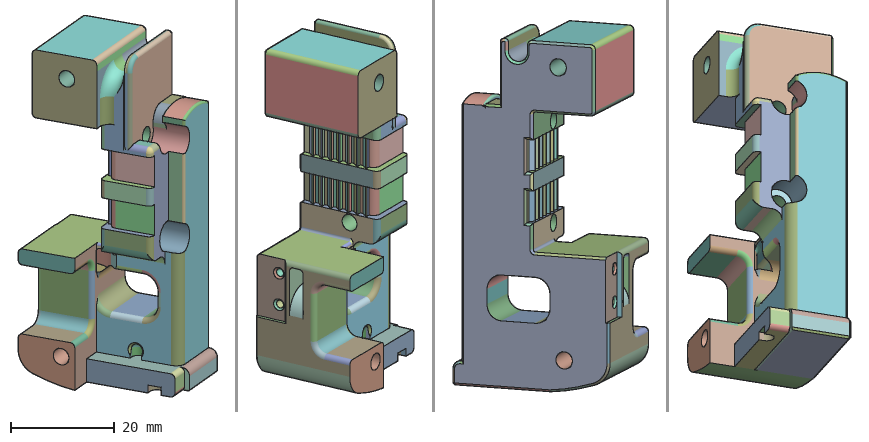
import cadquery as cq
import math


BACK_Y = 21.6
TOP_Z = 68.75
BACK_CHAMFER = 0.5
EDGE_ROUND = 0.95
LARGE_ROUND = 2.0
SMALL_ROUND = 0.5
SCREW_HOLE_D = 3.4

COLLAR_Y = 3.5
PLATE_Y = 9.2
FLANGE_Y = 10.85
SHOULDER_Y = 12.9

CLAMP_X = 12.25
CLAMP_Z = 27.2
CLAMP_REAR_Y = 11.0
OPENING_Y = 7.9
OPENING_BOTTOM = 9.7
OPENING_TOP = 23.9
OPENING_CORNER = 2.1
OPENING_EDGE_ROUND = 0.95
HEEL_START_Z = 6.4
HEEL_KNEE = (3.65, 1.8)
HEEL_MIDDLE = (7.7, 0.7)
CLAMP_SCREW = (9.3, 6.45)

COLLAR_X = 15.8
COLLAR_RIGHT = 27.0
COLLAR_BOTTOM = 27.5
COLLAR_TOP = 51.0
COLLAR_CORNER = 1.1
RECESS_DEPTH = 1.3
RECESS_Y = 4.9
RECESS_CORNER = 1.5
RECESSES = ((32.85, 39.2), (42.8, 49.2))
FIN_COUNT = 7
FIN_PITCH = 2.03
FIN_HEIGHT = 0.8
FIN_CREST = 0.35
FIN_RAMP = 1.0
FIRST_FIN_Y = RECESS_Y + RECESS_CORNER

HEAD_X = 3.0
HEAD_RIGHT = 17.0
HEAD_BOTTOM = 54.7
HEAD_SCREW = (10.5, 63.95)
GROOVE_R = LARGE_ROUND
GROOVE_X = HEAD_RIGHT + GROOVE_R
GROOVE_Z = 66.4
GROOVE_Y = COLLAR_Y - GROOVE_R
GROOVE_BEND_R = 6.0
BLADE_X = HEAD_RIGHT + 2 * GROOVE_R
BLADE_RIGHT = 22.6
BLADE_CORNER = 3.0
BLADE_EDGE_ROUND = 0.75
BLADE_LEFT_ROUND = 0.55

FLANGE_RIGHT = 30.45
SHOULDER_Z = 55.7
SHOULDER_ROUND = 3.1
CAP_X = 25.5
CAP_Z = 56.5
CAP_CROWN_R = 12.25
CAP_CROWN_Y = 16.5
CROSS_SCREW_Y = 10.05
CROSS_SCREW_Z = (30.95, COLLAR_TOP)
COUNTERBORE_D = 6.0

FOOT_Z = 4.8
FOOT_Y = 5.1
FOOT_RIGHT = 32.4
TAB_RIGHT = 31.3
FOOT_CHAMFER = 0.4
FOOT_ROUND = 1.65
NOTCH_X = 26.9
NOTCH_WIDTH = 2.9
NOTCH_HEIGHT = 1.65
NOTCH_CENTRE_Y = 6.1

WINDOW = (CLAMP_X, 13.35, 25.15, 22.35)
WINDOW_CORNER = 3.0
WINDOW_EDGE_ROUND = 1.0
CHANNEL_FRONT_Y = 10.65
CHANNEL_REAR_Y = 13.75
CHANNEL_BEND_X = 8.7
CHANNEL_BEND_R = 8.0
CHANNEL_SILL = 16.2
CHANNEL_TOP = 26.25
CHANNEL_ROOF_ROUND = 0.8
SILL_R = 5.0
PAD_Y = 15.25
PAD_BOTTOM = 14.4
PAD_DEPTH = 0.75
PAD_HOLE_Y = 16.65
PAD_HOLES_Z = (17.6, 24.1)
PAD_HOLE_D = 1.6
PAD_SINK_D = 2.4
PAD_HOLE_DEPTH = 4.1
POCKET_X = 20.75
POCKET_Z = 6.5
POCKET_D = 2.4
POCKET_RIM_D = 3.3
POCKET_DEPTH = 2.05


def box(x0, x1, y0, y1, z0, z1):
    return cq.Workplane().box(x1 - x0, y1 - y0, z1 - z0, centered=False).translate((x0, y0, z0))


def front_sketch(y):
    """XZ workplane at depth y; extrude by a negative length to go towards the back."""
    return cq.Workplane("XZ", origin=(0, y, 0))


def x_cylinder(diameter, y, z, x0, x1):
    return cq.Workplane("YZ", origin=(x0, 0, 0)).center(y, z).circle(diameter / 2).extrude(x1 - x0)


def y_cylinder(diameter, x, z, y0, y1):
    return front_sketch(y0).center(x, z).circle(diameter / 2).extrude(y0 - y1)


def near(x0, x1, y0, y1, z0, z1):
    return cq.selectors.BoxSelector((x0, y0, z0), (x1, y1, z1))


def arc_corner(sketch, start, corner, end):
    """Quarter round from start to end, tangent to both sides that meet at corner."""
    centre = (start[0] + end[0] - corner[0], start[1] + end[1] - corner[1])
    middle = [c + (k - c) * math.sqrt(0.5) for c, k in zip(centre, corner)]
    return sketch.lineTo(*start).threePointArc(tuple(middle), end)


def heel(sketch):
    """Curved underside of the clamp block, from the foot round to its left side."""
    knee_x, knee_z = HEEL_KNEE
    drop = HEEL_START_Z - knee_z
    radius = (knee_x**2 + drop**2) / (2 * knee_x)
    half_angle = math.atan2(drop, radius - knee_x) / 2
    middle = (radius * (1 - math.cos(half_angle)), HEEL_START_Z - radius * math.sin(half_angle))
    sketch = sketch.lineTo(CLAMP_X, 0).threePointArc(HEEL_MIDDLE, HEEL_KNEE)
    return sketch.threePointArc(middle, (0, HEEL_START_Z))


def outline_prism(front_y):
    """The part's front outline, extruded from front_y to the back."""
    r = EDGE_ROUND
    s = SMALL_ROUND
    recess_x = COLLAR_X + RECESS_DEPTH
    sketch = front_sketch(front_y).moveTo(0, HEEL_START_Z)
    sketch = arc_corner(sketch, (0, CLAMP_Z - r), (0, CLAMP_Z), (r, CLAMP_Z))
    sketch = arc_corner(sketch, (COLLAR_X - s, CLAMP_Z), (COLLAR_X, CLAMP_Z), (COLLAR_X, CLAMP_Z + s))
    for z0, z1 in RECESSES:
        sketch = sketch.lineTo(COLLAR_X, z0).lineTo(recess_x, z0).lineTo(recess_x, z1).lineTo(COLLAR_X, z1)
    sketch = arc_corner(
        sketch, (COLLAR_X, HEAD_BOTTOM - s), (COLLAR_X, HEAD_BOTTOM), (COLLAR_X - s, HEAD_BOTTOM)
    )
    sketch = arc_corner(sketch, (HEAD_X + r, HEAD_BOTTOM), (HEAD_X, HEAD_BOTTOM), (HEAD_X, HEAD_BOTTOM + r))
    sketch = arc_corner(sketch, (HEAD_X, TOP_Z - r), (HEAD_X, TOP_Z), (HEAD_X + r, TOP_Z))
    sketch = arc_corner(sketch, (HEAD_RIGHT - r, TOP_Z), (HEAD_RIGHT, TOP_Z), (HEAD_RIGHT, TOP_Z - r))
    sketch = sketch.lineTo(HEAD_RIGHT, GROOVE_Z)
    sketch = sketch.threePointArc((GROOVE_X, GROOVE_Z - GROOVE_R), (BLADE_X, GROOVE_Z))
    b = BLADE_LEFT_ROUND
    sketch = arc_corner(sketch, (BLADE_X, TOP_Z - b), (BLADE_X, TOP_Z), (BLADE_X + b, TOP_Z))
    b = BLADE_EDGE_ROUND
    sketch = arc_corner(sketch, (BLADE_RIGHT - b, TOP_Z), (BLADE_RIGHT, TOP_Z), (BLADE_RIGHT, TOP_Z - b))
    sketch = sketch.lineTo(BLADE_RIGHT, SHOULDER_Z)
    sketch = sketch.lineTo(CAP_X, SHOULDER_Z).lineTo(CAP_X, CAP_Z).lineTo(FLANGE_RIGHT, CAP_Z)
    sketch = sketch.lineTo(FLANGE_RIGHT, FOOT_Z)
    sketch = arc_corner(
        sketch,
        (FOOT_RIGHT - FOOT_ROUND, FOOT_Z),
        (FOOT_RIGHT, FOOT_Z),
        (FOOT_RIGHT, FOOT_Z - FOOT_ROUND),
    )
    sketch = sketch.lineTo(FOOT_RIGHT, FOOT_CHAMFER).lineTo(FOOT_RIGHT - FOOT_CHAMFER, 0)
    return heel(sketch).close().extrude(front_y - BACK_Y)


def window(plate):
    x0, z0, x1, z1 = WINDOW
    middle = ((x0 + x1) / 2, (z0 + z1) / 2)
    cutter = front_sketch(PLATE_Y).center(*middle).rect(x1 - x0, z1 - z0).extrude(PLATE_Y - BACK_Y)
    plate = plate.cut(cutter.edges("|Y").fillet(WINDOW_CORNER))
    mouth = near(x0 - 0.1, x1 + 0.1, PLATE_Y - 0.1, PLATE_Y + 0.1, z0 - 0.1, z1 + 0.1)
    return plate.edges(mouth).fillet(WINDOW_EDGE_ROUND)


def counterbore(screw_z):
    return x_cylinder(COUNTERBORE_D, CROSS_SCREW_Y, screw_z, BLADE_RIGHT, FLANGE_RIGHT)


def side_flange(plate):
    """Steps the plate back beside the blade, clears the screw heads and rounds the edges."""
    upper_z = CROSS_SCREW_Z[0]
    plate = plate.cut(box(COLLAR_RIGHT, FOOT_RIGHT, PLATE_Y, FLANGE_Y, upper_z, TOP_Z))
    plate = plate.cut(box(CAP_X, FOOT_RIGHT, PLATE_Y, FLANGE_Y, COLLAR_TOP, TOP_Z))
    plate = plate.cut(box(BLADE_RIGHT, CAP_X, PLATE_Y, SHOULDER_Y, COLLAR_TOP, TOP_Z))
    shoulder = near(BLADE_RIGHT, CAP_X, SHOULDER_Y - 0.1, SHOULDER_Y + 0.1, SHOULDER_Z - 0.1, SHOULDER_Z + 0.1)
    plate = plate.edges(shoulder).fillet(SHOULDER_ROUND)
    for screw_z in CROSS_SCREW_Z:
        plate = plate.cut(counterbore(screw_z))
    right = FLANGE_RIGHT
    lower_edge = near(right - 0.1, right + 0.1, PLATE_Y - 0.1, PLATE_Y + 0.1, FOOT_Z, upper_z)
    plate = plate.edges(lower_edge).fillet(LARGE_ROUND)
    upper_edge = near(right - 0.1, right + 0.1, FLANGE_Y - 0.1, FLANGE_Y + 0.1, upper_z, TOP_Z)
    plate = plate.edges(upper_edge).fillet(SMALL_ROUND)
    cap_edge = near(CAP_X - 0.1, CAP_X + 0.1, FLANGE_Y - 0.1, FLANGE_Y + 0.1, COLLAR_TOP, TOP_Z)
    plate = plate.edges(cap_edge).fillet(SMALL_ROUND)
    crown = x_cylinder(2 * CAP_CROWN_R, CAP_CROWN_Y, CAP_Z - CAP_CROWN_R, CAP_X, FLANGE_RIGHT)
    crown = crown.edges().fillet(SMALL_ROUND)
    above_crown = box(CAP_X, FLANGE_RIGHT, PLATE_Y, BACK_Y, SHOULDER_Z - LARGE_ROUND, TOP_Z).cut(crown)
    return plate.cut(above_crown)


def back_plate():
    plate = outline_prism(PLATE_Y).faces(">Y").chamfer(BACK_CHAMFER)
    top_edge = near(0, COLLAR_X - SMALL_ROUND, PLATE_Y - 0.1, PLATE_Y + 0.1, CLAMP_Z - 0.1, CLAMP_Z + 0.1)
    plate = plate.edges(top_edge).fillet(SMALL_ROUND)
    return side_flange(window(plate))


def clamp_block():
    """Fork-shaped block with a sideways opening that is rounded along both mouths."""
    block = outline_prism(0).intersect(box(0, CLAMP_X, 0, CLAMP_REAR_Y, 0, CLAMP_Z))
    opening = box(0, CLAMP_X, -OPENING_CORNER, OPENING_Y, OPENING_BOTTOM, OPENING_TOP)
    block = block.cut(opening.edges("|X and >Y").fillet(OPENING_CORNER))
    for x in (0, CLAMP_X):
        low, high = OPENING_BOTTOM - 0.1, OPENING_TOP + 0.1
        block = block.edges(near(x - 0.1, x + 0.1, 0.1, OPENING_Y + 0.1, low, high)).fillet(OPENING_EDGE_ROUND)
    return block


def foot():
    """Tab in front of the plate with a round-ended notch in its underside."""
    tab = box(CLAMP_X, TAB_RIGHT, FOOT_Y, PLATE_Y, 0, FOOT_Z).edges("|Y and >X").fillet(EDGE_ROUND)
    notch = box(
        NOTCH_X - NOTCH_WIDTH / 2, NOTCH_X + NOTCH_WIDTH / 2, FOOT_Y, NOTCH_CENTRE_Y, 0, NOTCH_HEIGHT
    )
    notch_end = cq.Workplane().center(NOTCH_X, NOTCH_CENTRE_Y).circle(NOTCH_WIDTH / 2).extrude(NOTCH_HEIGHT)
    return tab.cut(notch).cut(notch_end)


def collar():
    """Banded grip: rounded front corners, curved underside and a rounded shelf on top."""
    r = LARGE_ROUND
    bottom = COLLAR_BOTTOM
    side = cq.Workplane("YZ", origin=(COLLAR_X, 0, 0)).moveTo(COLLAR_Y, COLLAR_TOP)
    side = arc_corner(side, (COLLAR_Y, bottom + r), (COLLAR_Y, bottom), (COLLAR_Y + r, bottom))
    side = arc_corner(side, (PLATE_Y - r, bottom), (PLATE_Y, bottom), (PLATE_Y, bottom - r))
    side = side.lineTo(CLAMP_REAR_Y, bottom - r).lineTo(CLAMP_REAR_Y, COLLAR_TOP).close()
    body = side.extrude(COLLAR_RIGHT - COLLAR_X)
    plan = box(COLLAR_X, COLLAR_RIGHT, COLLAR_Y, CLAMP_REAR_Y, 0, TOP_Z).edges("|Z and <Y").fillet(COLLAR_CORNER)
    body = body.intersect(plan)
    body = body.faces(">Z").edges(">X or <Y").fillet(COLLAR_CORNER)
    for z0, z1 in RECESSES:
        band_gap = box(COLLAR_X, COLLAR_RIGHT, COLLAR_Y, CLAMP_REAR_Y, z0, z1)
        core = box(COLLAR_X + RECESS_DEPTH, COLLAR_RIGHT, RECESS_Y, CLAMP_REAR_Y, z0, z1)
        body = body.cut(band_gap.cut(core.edges("|Z and <X and <Y").fillet(RECESS_CORNER)))
    return body


def fins():
    """Saw-tooth fins standing on the left side of the collar recesses."""
    root_x = COLLAR_X + RECESS_DEPTH
    crest_x = root_x - FIN_HEIGHT
    fin_set = cq.Workplane()
    for z0, z1 in RECESSES:
        for i in range(FIN_COUNT):
            y = FIRST_FIN_Y + i * FIN_PITCH
            tooth = [
                (root_x + FIN_HEIGHT, y),
                (crest_x, y),
                (crest_x, y + FIN_CREST),
                (root_x, y + FIN_CREST + FIN_RAMP),
                (root_x + FIN_HEIGHT, y + FIN_CREST + FIN_RAMP),
            ]
            fin_set = fin_set.add(cq.Workplane(origin=(0, 0, z0)).polyline(tooth).close().extrude(z1 - z0))
    return fin_set.combine()


def head():
    return outline_prism(0).intersect(box(HEAD_X, HEAD_RIGHT, 0, CLAMP_REAR_Y, HEAD_BOTTOM, TOP_Z))


def blade():
    """Upright blade with a rounded top front corner and rounded edges."""
    bottom = COLLAR_TOP - COLLAR_CORNER
    upright = box(BLADE_X, BLADE_RIGHT, COLLAR_Y, CLAMP_REAR_Y, bottom, TOP_Z)
    upright = upright.edges("|X and <Y and >Z").fillet(BLADE_CORNER)
    upright = upright.faces("<Y").edges(">X").fillet(BLADE_EDGE_ROUND)
    return upright.faces("<X").edges("<Y").fillet(BLADE_LEFT_ROUND)


def web():
    """Material joining collar, head and blade, left solid for the ball groove to run through."""
    bottom = COLLAR_TOP - COLLAR_CORNER
    neck = box(COLLAR_X, BLADE_X, COLLAR_Y, CLAMP_REAR_Y, bottom, HEAD_BOTTOM)
    neck = neck.edges("|Z and <X and <Y").fillet(COLLAR_CORNER)
    filler = box(HEAD_RIGHT, GROOVE_X, 0, CLAMP_REAR_Y, HEAD_BOTTOM, GROOVE_Z)
    bridge = box(GROOVE_X, BLADE_X, COLLAR_Y, CLAMP_REAR_Y, HEAD_BOTTOM, GROOVE_Z)
    strip = box(COLLAR_X - SMALL_ROUND, COLLAR_X, COLLAR_Y + COLLAR_CORNER, PLATE_Y, bottom, HEAD_BOTTOM)
    strip = strip.intersect(outline_prism(0))
    return neck.union(filler).union(bridge).union(strip)


def ball_groove():
    """Round groove along the top that bends down between head and blade."""
    bend_y = GROOVE_Y + GROOVE_BEND_R
    bend_z = GROOVE_Z - GROOVE_BEND_R
    top_run = y_cylinder(2 * GROOVE_R, GROOVE_X, GROOVE_Z, bend_y, BACK_Y)
    drop = cq.Workplane(origin=(GROOVE_X, GROOVE_Y, HEAD_BOTTOM)).circle(GROOVE_R).extrude(bend_z - HEAD_BOTTOM)
    bend = front_sketch(bend_y).center(GROOVE_X, GROOVE_Z).circle(GROOVE_R)
    bend = bend.revolve(90, (-0.7, -GROOVE_BEND_R), (0.7, -GROOVE_BEND_R))
    outside = box(HEAD_RIGHT, BLADE_X, 0, BACK_Y, HEAD_BOTTOM, TOP_Z)
    inside = box(HEAD_RIGHT, BLADE_X, GROOVE_Y, BACK_Y, HEAD_BOTTOM, GROOVE_Z)
    inside = inside.edges("|X and <Y and >Z").fillet(GROOVE_BEND_R)
    return outside.cut(inside).union(top_run).union(bend).union(drop)


def cable_channel():
    """Channel from the left side that bends forward to the plate front, over a rounded sill."""
    centre_y = CHANNEL_REAR_Y - CHANNEL_BEND_R
    inner_r = CHANNEL_BEND_R - (CHANNEL_REAR_Y - CHANNEL_FRONT_Y)

    def on_bend(radius, degrees):
        angle = math.radians(degrees)
        return (CHANNEL_BEND_X + radius * math.sin(angle), centre_y + radius * math.cos(angle))

    outer_end = on_bend(CHANNEL_BEND_R, 45)
    inner_end = on_bend(inner_r, 45)
    exit_run = outer_end[1] - PLATE_Y
    channel = (
        cq.Workplane(origin=(0, 0, CHANNEL_SILL))
        .moveTo(0, CHANNEL_REAR_Y)
        .lineTo(CHANNEL_BEND_X, CHANNEL_REAR_Y)
        .threePointArc(on_bend(CHANNEL_BEND_R, 22.5), outer_end)
        .lineTo(outer_end[0] + exit_run, PLATE_Y)
        .lineTo(inner_end[0], PLATE_Y)
        .lineTo(*inner_end)
        .threePointArc(on_bend(inner_r, 22.5), (CHANNEL_BEND_X, CHANNEL_FRONT_Y))
        .lineTo(0, CHANNEL_FRONT_Y)
        .close()
        .extrude(CHANNEL_TOP - CHANNEL_SILL)
    )
    roof = channel.faces(">Z").edges("(not <X) and (not <Y)")
    channel = roof.fillet(CHANNEL_ROOF_ROUND)
    sill = front_sketch(PLATE_Y).moveTo(FOOT_RIGHT, CHANNEL_SILL)
    sill = arc_corner(
        sill, (0, CHANNEL_SILL), (0, CHANNEL_SILL + SILL_R), (SILL_R, CHANNEL_SILL + SILL_R)
    )
    sill = sill.lineTo(FOOT_RIGHT, CHANNEL_SILL + SILL_R).close()
    sill = sill.extrude(PLATE_Y - BACK_Y)
    return channel.cut(sill)


def side_pad():
    """Shallow step on the left side with a sloped front wall."""
    return (
        cq.Workplane(origin=(0, 0, PAD_BOTTOM))
        .polyline([(0, PAD_Y - PAD_DEPTH), (PAD_DEPTH, PAD_Y), (PAD_DEPTH, BACK_Y), (0, BACK_Y)])
        .close()
        .extrude(CLAMP_Z - PAD_BOTTOM)
    )


def pad_hole(z):
    """Blind countersunk hole in the side pad."""
    hole = x_cylinder(PAD_HOLE_D, PAD_HOLE_Y, z, PAD_DEPTH, PAD_DEPTH + PAD_HOLE_DEPTH)
    sink = (PAD_SINK_D - PAD_HOLE_D) / 2
    cone = cq.Solid.makeCone(
        PAD_SINK_D / 2, PAD_HOLE_D / 2, sink, cq.Vector(PAD_DEPTH, PAD_HOLE_Y, z), cq.Vector(1, 0, 0)
    )
    return hole.union(cq.Workplane(cone))


def foot_pocket():
    """Blind round-topped pocket standing on the foot, with a bevelled rim."""
    rim = (POCKET_RIM_D - POCKET_D) / 2
    centre = cq.Vector(POCKET_X, PLATE_Y, POCKET_Z)
    cone = cq.Solid.makeCone(POCKET_RIM_D / 2, POCKET_D / 2, rim, centre, cq.Vector(0, 1, 0))
    half = POCKET_D / 2
    axis_y = PLATE_Y + POCKET_DEPTH - half
    bore = y_cylinder(POCKET_D, POCKET_X, POCKET_Z, PLATE_Y, axis_y)
    lower = box(POCKET_X - half, POCKET_X + half, PLATE_Y, axis_y, FOOT_Z, POCKET_Z)
    back = cq.Workplane(origin=(POCKET_X, axis_y, FOOT_Z)).circle(half).extrude(POCKET_Z - FOOT_Z)
    ball = cq.Workplane(origin=(POCKET_X, axis_y, POCKET_Z)).sphere(half)
    return bore.union(lower).union(back).union(ball).union(cq.Workplane(cone))


result = back_plate().union(clamp_block()).cut(cable_channel()).union(foot())
result = result.union(collar()).union(fins()).union(head()).union(web()).union(blade())
result = result.cut(side_pad()).cut(foot_pocket())
for pad_hole_z in PAD_HOLES_Z:
    result = result.cut(pad_hole(pad_hole_z))
for screw_x, screw_z in (CLAMP_SCREW, HEAD_SCREW):
    result = result.cut(y_cylinder(SCREW_HOLE_D, screw_x, screw_z, 0, BACK_Y))
for screw_z in CROSS_SCREW_Z:
    result = result.cut(x_cylinder(SCREW_HOLE_D, CROSS_SCREW_Y, screw_z, COLLAR_X, BLADE_RIGHT))
    result = result.cut(counterbore(screw_z))
result = result.cut(ball_groove())